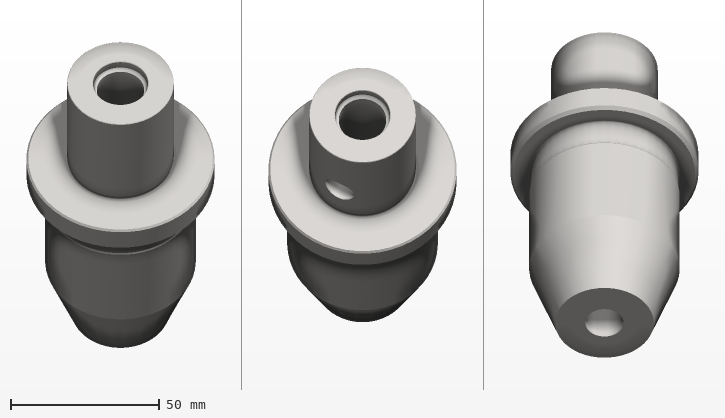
import cadquery as cq
import math

shank_length = 40.0
flange_thickness = 10.0
neck_length = 10.0
body_length = 35.0
taper_length = 26.0

shank_radius = 36.0 / 2
flange_radius = 63.5 / 2
neck_radius = 50.2 / 2
body_radius = 50.8 / 2
tip_radius = 33.2 / 2

shank_chamfer = 0.2
flange_top_chamfer = 0.65
flange_bottom_chamfer = 1.1
neck_fillet = 0.6
body_lead_in = 0.5

relief_height = 1.5
relief_taper_height = 0.8
relief_depth = 0.2
relief_sink = 0.2
relief_floor_radius = 18.3
relief_outer_radius = 19.0

recess_radius = 18.6 / 2
recess_depth = 3.0
recess_chamfer = 0.2
recess_floor_slope = math.radians(30.0)
bore_radius = 16.0 / 2
bore_depth = shank_length + flange_thickness
bore_end_slope = math.radians(30.0)
through_radius = 13.0 / 2

cross_hole_diameter = 11.0
cross_hole_from_top = 24.4

body_bottom_z = taper_length
body_top_z = body_bottom_z + body_length
flange_bottom_z = body_top_z + neck_length
flange_top_z = flange_bottom_z + flange_thickness
top_z = flange_top_z + shank_length


def make_outside():
    """Solid of revolution bounded by the turned outside."""
    relief_radius = shank_radius - relief_depth
    relief_floor_z = flange_top_z - relief_sink
    fillet_mid_offset = neck_fillet * (1 - math.sqrt(0.5))
    profile = (
        cq.Workplane("XZ")
        .moveTo(0, 0)
        .lineTo(tip_radius, 0)
        .lineTo(body_radius, body_bottom_z)
        .lineTo(body_radius, body_top_z - body_lead_in)
        .lineTo(neck_radius, body_top_z)
        .lineTo(neck_radius, flange_bottom_z - neck_fillet)
        .threePointArc(
            (neck_radius + fillet_mid_offset, flange_bottom_z - fillet_mid_offset),
            (neck_radius + neck_fillet, flange_bottom_z),
        )
        .lineTo(flange_radius - flange_bottom_chamfer, flange_bottom_z)
        .lineTo(flange_radius, flange_bottom_z + flange_bottom_chamfer)
        .lineTo(flange_radius, flange_top_z - flange_top_chamfer)
        .lineTo(flange_radius - flange_top_chamfer, flange_top_z)
        .lineTo(relief_outer_radius, flange_top_z)
        .lineTo(relief_floor_radius, relief_floor_z)
        .tangentArcPoint(
            (relief_radius, flange_top_z + relief_height - relief_taper_height), relative=False
        )
        .lineTo(shank_radius, flange_top_z + relief_height)
        .lineTo(shank_radius, top_z - shank_chamfer)
        .lineTo(shank_radius - shank_chamfer, top_z)
        .lineTo(0, top_z)
        .close()
    )
    return profile.revolve(360, (0, 0, 0), (0, 1, 0))


def make_bore():
    """Recess with a conical floor, main bore with a conical end, and through hole."""
    recess_z = top_z - recess_depth
    bore_top_z = recess_z - (recess_radius - bore_radius) * math.tan(recess_floor_slope)
    bore_bottom_z = top_z - bore_depth
    through_top_z = bore_bottom_z - (bore_radius - through_radius) * math.tan(bore_end_slope)
    profile = (
        cq.Workplane("XZ")
        .moveTo(0, 0)
        .lineTo(through_radius, 0)
        .lineTo(through_radius, through_top_z)
        .lineTo(bore_radius, bore_bottom_z)
        .lineTo(bore_radius, bore_top_z)
        .lineTo(recess_radius, recess_z)
        .lineTo(recess_radius, top_z - recess_chamfer)
        .lineTo(recess_radius + recess_chamfer, top_z)
        .lineTo(0, top_z)
        .close()
    )
    return profile.revolve(360, (0, 0, 0), (0, 1, 0))


def make_cross_hole():
    """Radial hole from the +Y side of the shank into the main bore."""
    return cq.Workplane(
        cq.Solid.makeCylinder(
            cross_hole_diameter / 2,
            flange_radius,
            cq.Vector(0, 0, top_z - cross_hole_from_top),
            cq.Vector(0, 1, 0),
        )
    )


result = make_outside().cut(make_bore()).cut(make_cross_hole())